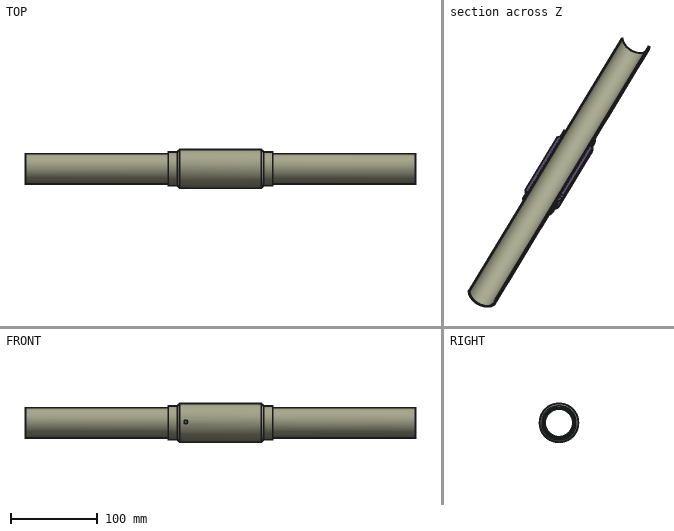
import cadquery as cq

pipe_length = 450.0
pipe_diameter = 35.0
pipe_bore = 32.0

sleeve_diameter = 45.0
collar_diameter = 39.0
sleeve_length = 99.5
collar_length = 11.0
bevel = (sleeve_diameter - collar_diameter) / 2
bore_clearance = 0.1
coupling_length = sleeve_length + 2 * collar_length

side_hole_diameter = 4.0
side_hole_x = -40.0
side_hole_z = 1.12


def x_cylinder(diameter, length):
    """Solid cylinder along X, centred on the origin."""
    return cq.Workplane("YZ", origin=(-length / 2, 0, 0)).circle(diameter / 2).extrude(length)


def make_pipe():
    """Plain tube, open at both ends."""
    return x_cylinder(pipe_diameter, pipe_length).cut(x_cylinder(pipe_bore, pipe_length))


def make_side_hole():
    """Cutter from the mid-plane out through the -Y wall."""
    return (
        cq.Workplane("XZ")
        .center(side_hole_x, side_hole_z)
        .circle(side_hole_diameter / 2)
        .extrude(sleeve_diameter / 2)
    )


def make_coupling():
    """Bevelled sleeve with a collar at each end, bored to clear the pipe."""
    thick_part = x_cylinder(sleeve_diameter, sleeve_length).faces("<X or >X").edges().chamfer(bevel)
    collars = x_cylinder(collar_diameter, coupling_length)
    bore = x_cylinder(pipe_diameter + 2 * bore_clearance, coupling_length)
    return thick_part.union(collars).cut(bore).cut(make_side_hole())


pipe = make_pipe()
coupling = make_coupling()

result = cq.Compound.makeCompound([pipe.val(), coupling.val()])